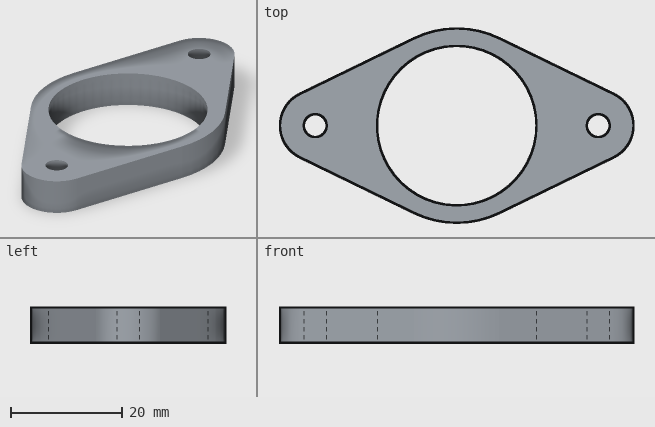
import cadquery as cq
import math

length = 63.5
width = 34.9
thickness = 6.35
bore_diameter = 28.55
bolt_hole_diameter = 4.05
bolt_spacing = 50.8

center_radius = width / 2
end_x = bolt_spacing / 2
end_radius = length / 2 - end_x

flank_normal_x = (center_radius - end_radius) / end_x
flank_normal_y = math.sqrt(1 - flank_normal_x**2)
center_tangent_x = center_radius * flank_normal_x
center_tangent_y = center_radius * flank_normal_y
end_tangent_x = end_x + end_radius * flank_normal_x
end_tangent_y = end_radius * flank_normal_y

flange = (
    cq.Workplane("XY")
    .moveTo(-center_tangent_x, center_tangent_y)
    .threePointArc((0, center_radius), (center_tangent_x, center_tangent_y))
    .lineTo(end_tangent_x, end_tangent_y)
    .threePointArc((length / 2, 0), (end_tangent_x, -end_tangent_y))
    .lineTo(center_tangent_x, -center_tangent_y)
    .threePointArc((0, -center_radius), (-center_tangent_x, -center_tangent_y))
    .lineTo(-end_tangent_x, -end_tangent_y)
    .threePointArc((-length / 2, 0), (-end_tangent_x, end_tangent_y))
    .close()
    .extrude(thickness)
)

bore = cq.Workplane("XY").circle(bore_diameter / 2).extrude(thickness)
bolt_holes = (
    cq.Workplane("XY")
    .pushPoints([(-end_x, 0), (end_x, 0)])
    .circle(bolt_hole_diameter / 2)
    .extrude(thickness)
)

result = flange.cut(bore).cut(bolt_holes)